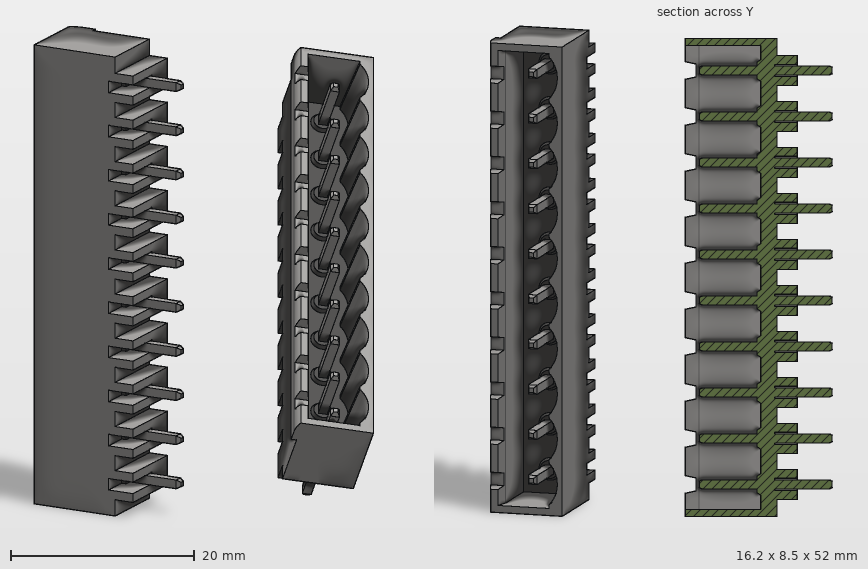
import cadquery as cq


pin_count = 10
pitch = 5.0
end_margin = 3.5
length = (pin_count - 1) * pitch + 2 * end_margin
pin_y = 3.9
pin_z = [end_margin + i * pitch for i in range(pin_count)]

body_height = 10.0
body_depth = 7.9
foot_height = 2.2
foot_width = 3.3
foot_end = body_height + foot_height
overlap = 1.0

ridge_top = 8.5
ridge_mouth_y = 8.1
ridge_crest_x = 1.6
ridge_end_x = 3.0

end_wall = 0.8
cavity_depth = 8.2
cavity_back_y = 6.9
lead_in_y = 7.3
lead_in_depth = 1.5
scallop_reach_mouth = 3.35
scallop_reach_floor = 2.92
cusp_y_mouth = 1.5
cusp_y_floor = 1.9
cusp_half_land = 0.2

notch_depth = 1.15
notch_floor_width = 1.4
notch_mouth_width = 1.9

pin_width = 1.0
pin_start = 1.3
pin_end = 16.2
pin_tip_length = 0.5
pin_tip_width = 0.5
collar_base_radius = 1.25
collar_top_radius = 1.0
collar_height = 0.4

slot_width = 1.3
slot_start = 9.2
slot_inner_start = 9.75
slot_step_y = 3.0
slot_floor_y = pin_y + pin_width / 2


def box(x0, x1, y0, y1, z0, z1):
    return cq.Workplane("XY").box(x1 - x0, y1 - y0, z1 - z0, centered=False).translate((x0, y0, z0))


def make_housing():
    """Body with the latching ridge in its profile, plus a foot block at every pin."""
    rise_mid_x = ridge_crest_x / 2
    rise_mid_y = ridge_top - (ridge_top - ridge_mouth_y) / 4
    housing = (
        cq.Workplane("XY")
        .moveTo(0, 0)
        .lineTo(body_height, 0)
        .lineTo(body_height, body_depth)
        .lineTo(ridge_end_x, body_depth)
        .lineTo(ridge_end_x, ridge_top)
        .lineTo(ridge_crest_x, ridge_top)
        .threePointArc((rise_mid_x, rise_mid_y), (0, ridge_mouth_y))
        .close()
        .extrude(length)
    )
    for z in pin_z:
        half = foot_width / 2
        housing = housing.union(box(body_height - overlap, foot_end, 0, body_depth, z - half, z + half))
    return housing


def scallop_outline(plane, reach, cusp_y):
    """Cavity outline: straight back and ends, and a -Y side of one arc per pin with flat lands between."""
    half_arc = pitch / 2 - cusp_half_land
    outline = plane.moveTo(cavity_back_y, end_wall).lineTo(cusp_y, end_wall)
    for z in pin_z:
        outline = outline.lineTo(cusp_y, z - half_arc)
        outline = outline.threePointArc((pin_y - reach, z), (cusp_y, z + half_arc))
    outline = outline.lineTo(cusp_y, length - end_wall)
    return outline.lineTo(cavity_back_y, length - end_wall).close()


def make_cavity():
    """Plug cavity, its scallops tapering towards the floor, with a sloped lead-in on the back wall."""
    mouth = scallop_outline(cq.Workplane("YZ"), scallop_reach_mouth, cusp_y_mouth)
    floor_plane = mouth.workplane(offset=cavity_depth)
    cavity = scallop_outline(floor_plane, scallop_reach_floor, cusp_y_floor).loft(ruled=True)
    lead_in = (
        cq.Workplane("XY", origin=(0, 0, end_wall))
        .polyline([
            (0, cavity_back_y - overlap),
            (0, lead_in_y),
            (lead_in_depth, cavity_back_y),
            (lead_in_depth, cavity_back_y - overlap),
        ])
        .close()
        .extrude(length - 2 * end_wall)
    )
    return cavity.union(lead_in)


def make_notch(z):
    """Flared notch through the +Y wall of the cavity mouth."""
    return (
        cq.Workplane("XZ", origin=(0, ridge_top + overlap, z))
        .polyline([
            (0, -notch_mouth_width / 2),
            (notch_depth, -notch_floor_width / 2),
            (notch_depth, notch_floor_width / 2),
            (0, notch_mouth_width / 2),
        ])
        .close()
        .extrude(ridge_top + 2 * overlap - cavity_back_y)
    )


def make_slot(z):
    """Slot for a pin tail: a shallow step at its closed end, then full depth past the pin."""
    half = slot_width / 2
    step = box(slot_start, foot_end, 0, slot_step_y, z - half, z + half)
    return step.union(box(slot_inner_start, foot_end, 0, slot_floor_y, z - half, z + half))


def make_pin_tip(x, direction, z):
    """Tapered pin end; direction is +1 or -1 along X."""
    return (
        cq.Workplane("YZ", origin=(x, pin_y, z))
        .rect(pin_width, pin_width)
        .workplane(offset=direction * pin_tip_length)
        .rect(pin_tip_width, pin_tip_width)
        .loft(ruled=True)
    )


def make_pin(z):
    half = pin_width / 2
    shank_start = pin_start + pin_tip_length
    shank_end = pin_end - pin_tip_length
    shank = box(shank_start, shank_end, pin_y - half, pin_y + half, z - half, z + half)
    return shank.union(make_pin_tip(shank_start, -1, z)).union(make_pin_tip(shank_end, 1, z))


def make_collar(z):
    """Cone standing on the cavity floor around a pin."""
    collar = cq.Solid.makeCone(
        collar_base_radius, collar_top_radius, collar_height,
        pnt=cq.Vector(cavity_depth, pin_y, z), dir=cq.Vector(-1, 0, 0),
    )
    return cq.Workplane(collar)


result = make_housing().cut(make_cavity())
for z in pin_z:
    result = result.cut(make_notch(z)).cut(make_slot(z))
    result = result.union(make_collar(z)).union(make_pin(z))